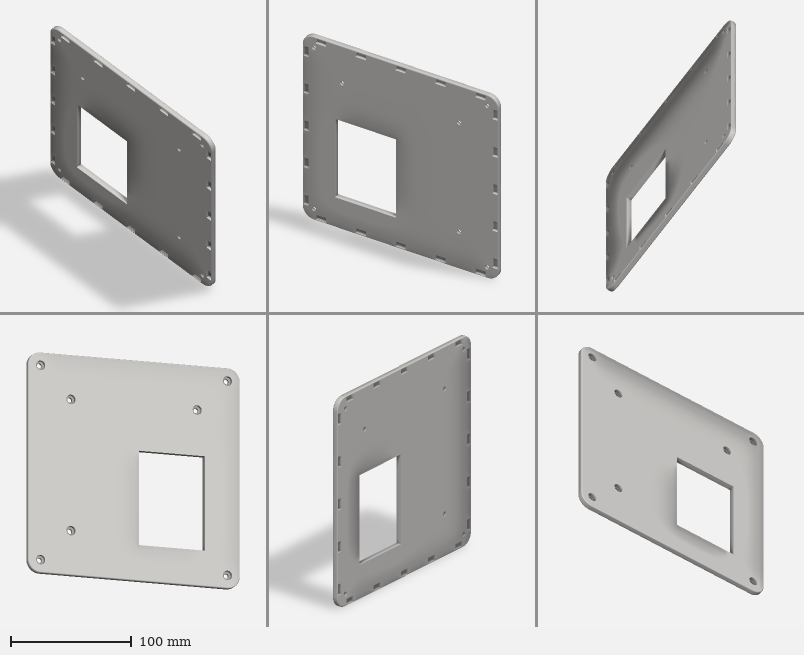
import cadquery as cq

side = 187.0
thickness = 5.0
corner_radius = 11.0
edge_fillet = 1.0

hole_diameter = 4.1
counterbore_diameter = 8.0
counterbore_depth = 3.0
corner_hole_offset = side / 2 - corner_radius
mount_hole_offset = 55.7

window_left = -62.5
window_bottom = -63.0
window_width = 58.0
window_height = 80.0

pockets_per_side = 5
pocket_pitch = 38.0
pocket_length = 10.0
pocket_width = 5.0
pocket_depth = 3.0
pocket_center_offset = side / 2 - edge_fillet - pocket_width / 2


def make_plate():
    """Square plate with rounded corners and both face rims rounded."""
    plate = cq.Workplane("XY").box(side, thickness, side)
    plate = plate.edges("|Y").fillet(corner_radius)
    return plate.faces("<Y or >Y").fillet(edge_fillet)


def front_face():
    """Workplane on the front face: local x is +X, local y is +Z, normal is -Y."""
    return cq.Workplane("XZ", origin=(0, -thickness / 2, 0))


def make_holes():
    """Stepped pins for the four corner holes and the three mounting holes."""
    corner = corner_hole_offset
    mount = mount_hole_offset
    corner_points = [(-corner, -corner), (-corner, corner), (corner, -corner), (corner, corner)]
    mount_points = [(-mount, mount), (mount, mount), (mount, -mount)]
    points = corner_points + mount_points
    sketch = front_face().pushPoints(points)
    shanks = sketch.circle(hole_diameter / 2).extrude(-thickness)
    sketch = front_face().workplane(offset=counterbore_depth - thickness).pushPoints(points)
    heads = sketch.circle(counterbore_diameter / 2).extrude(-counterbore_depth)
    return shanks.union(heads)


def make_window():
    """Block that cuts the rectangular window."""
    center_x = window_left + window_width / 2
    center_z = window_bottom + window_height / 2
    sketch = front_face().center(center_x, center_z)
    return sketch.rect(window_width, window_height).extrude(-thickness)


def make_pocket_row():
    """Row of pocket blocks along the top edge."""
    sketch = front_face().center(0, pocket_center_offset)
    sketch = sketch.rarray(pocket_pitch, 1.9, pockets_per_side, 1)
    return sketch.rect(pocket_length, pocket_width).extrude(-pocket_depth)


result = make_plate().cut(make_holes()).cut(make_window())

pocket_row = make_pocket_row()
for angle in (0, 90, 180, 270):
    result = result.cut(pocket_row.rotate((0, 0, 0), (0, 1, 0), angle))